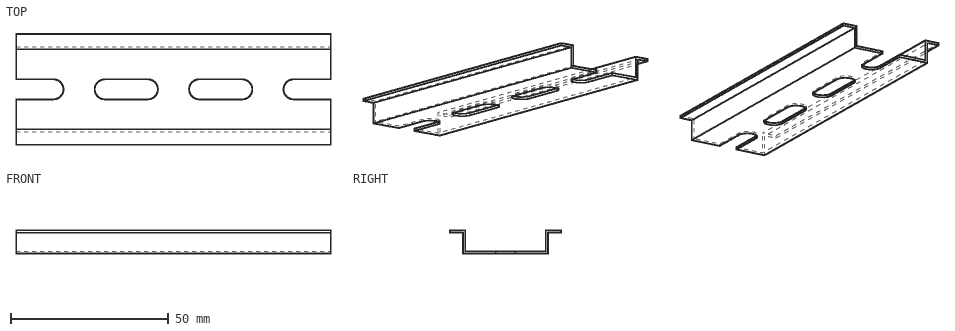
import cadquery as cq

length = 100.0
width = 35.3
height = 7.5
thickness = 0.8
channel_inner_width = 25.5
channel_outer_width = channel_inner_width + 2 * thickness

slot_length = 20.0
slot_width = 6.3
slot_pitch = 30.0
slot_count = 4


def make_rail():
    """Extrude the top-hat section, centred on X and Y with its web on Z = 0."""
    half_profile = [
        (0, 0),
        (channel_outer_width / 2, 0),
        (channel_outer_width / 2, height - thickness),
        (width / 2, height - thickness),
        (width / 2, height),
        (channel_inner_width / 2, height),
        (channel_inner_width / 2, thickness),
        (0, thickness),
    ]
    return (
        cq.Workplane("YZ")
        .polyline(half_profile)
        .mirrorY()
        .extrude(length / 2, both=True)
    )


def make_slots():
    """Round-ended cutters through the web, evenly spaced about the middle."""
    return (
        cq.Workplane("XY")
        .rarray(slot_pitch, 1, slot_count, 1)
        .slot2D(slot_length, slot_width)
        .extrude(thickness)
    )


result = make_rail().cut(make_slots())